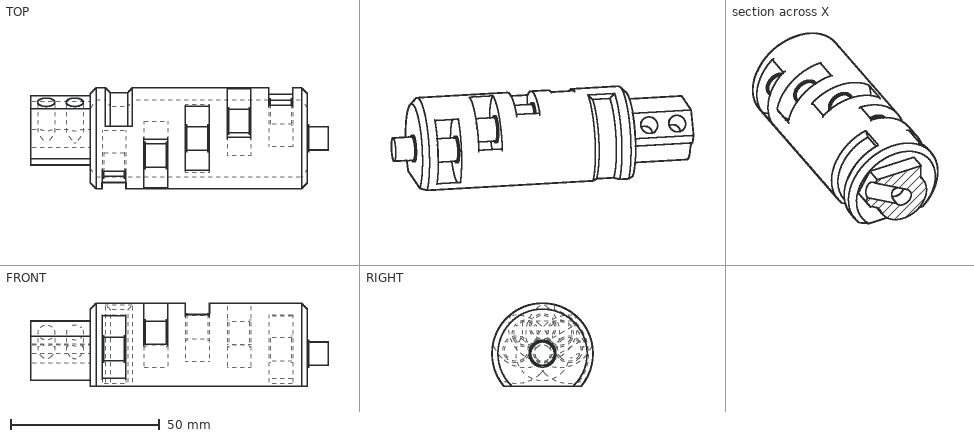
import cadquery as cq
import math

total_length = 100.0

body_start = 20.0
body_end = 93.0
body_radius = 17.0
body_chamfer = 2.0
flat_height = -11.0

shank_radius = 9.0
shank_top = 11.0
shank_side = -6.8
clamp_top = (9.9, 11.0)
clamp_tip = (14.3, 3.4)
clamp_bottom = (12.4, 0.2)
clamp_arc_middle = (10.2, -0.8)
clamp_root_height = -2.6
bore_diameter = 6.0
bore_depth = body_start
screw_diameter = 5.7
screw_positions = (5.2, 14.8)

pin_diameter = 7.9
collar_diameter = 9.0
collar_width = 0.5

pocket_count = 5
pocket_width = 8.0
first_pocket_center = 28.0
pocket_pitch = 14.0
first_pocket_angle = 10.0
pocket_angle_step = 40.0
pocket_offset = 9.0
pocket_radius = 11.5

groove_start = 25.1
groove_width = 9.1
groove_depth = 1.6
groove_wall_y = 4.0


def x_cylinder(start, length, diameter, y=0.0, z=0.0):
    """Cylinder parallel to X."""
    plane = cq.Plane((start, y, z), xDir=(0, 1, 0), normal=(1, 0, 0))
    return cq.Workplane(plane).circle(diameter / 2).extrude(length)


def make_body():
    body = x_cylinder(body_start, body_end - body_start, 2 * body_radius).edges().chamfer(body_chamfer)
    side = 2 * body_radius
    below_flat = cq.Workplane("XY").box(total_length, side, side, centered=(False, True, False))
    return body.cut(below_flat.translate((0, 0, flat_height - side)))


def make_shank():
    corner_height = math.sqrt(shank_radius**2 - shank_side**2)
    clamp_root = (math.sqrt(shank_radius**2 - clamp_root_height**2), clamp_root_height)
    profile = (
        cq.Workplane("YZ")
        .moveTo(shank_side, shank_top)
        .lineTo(*clamp_top)
        .lineTo(*clamp_tip)
        .lineTo(*clamp_bottom)
        .threePointArc(clamp_arc_middle, clamp_root)
        .threePointArc((0, -shank_radius), (shank_side, corner_height))
        .close()
    )
    return profile.extrude(body_start)


def make_screw_hole(x):
    """Hole square to the sloping clamp face, ending at the tool axis."""
    center_y = (clamp_top[0] + clamp_tip[0]) / 2
    center_z = (clamp_top[1] + clamp_tip[1]) / 2
    inward = (0, clamp_tip[1] - clamp_top[1], clamp_top[0] - clamp_tip[0])
    plane = cq.Plane((x, center_y, center_z), xDir=(1, 0, 0), normal=inward)
    return cq.Workplane(plane).circle(screw_diameter / 2).extrude(math.hypot(center_y, center_z))


def make_pocket(index):
    """Round pocket around a pin that has a collar at each end."""
    angle = math.radians(first_pocket_angle + index * pocket_angle_step)
    y = -pocket_offset * math.cos(angle)
    z = pocket_offset * math.sin(angle)
    start = first_pocket_center + index * pocket_pitch - pocket_width / 2
    pocket = x_cylinder(start, pocket_width, 2 * pocket_radius, y, z)
    pocket = pocket.cut(x_cylinder(start, pocket_width, pin_diameter, y, z))
    for collar_start in (start, start + pocket_width - collar_width):
        pocket = pocket.cut(x_cylinder(collar_start, collar_width, collar_diameter, y, z))
    return pocket


def make_groove():
    """Ring with 45 degree sides, kept only beyond the flat wall on the +Y side."""
    floor_radius = body_radius - groove_depth
    groove_end = groove_start + groove_width
    ring = (
        cq.Workplane("XY")
        .polyline([
            (groove_start, body_radius),
            (groove_start + groove_depth, floor_radius),
            (groove_end - groove_depth, floor_radius),
            (groove_end, body_radius),
        ])
        .close()
        .revolve(360, (0, 0, 0), (1, 0, 0))
    )
    side = 2 * body_radius
    kept_side = cq.Workplane("XY").box(total_length, side, side, centered=(False, False, True))
    return ring.intersect(kept_side.translate((0, groove_wall_y, 0)))


result = make_body().union(make_shank())
result = result.union(x_cylinder(body_end, total_length - body_end, pin_diameter))
result = result.union(x_cylinder(body_end, collar_width, collar_diameter))

result = result.cut(x_cylinder(0, bore_depth, bore_diameter))
for screw_x in screw_positions:
    result = result.cut(make_screw_hole(screw_x))
for pocket_index in range(pocket_count):
    result = result.cut(make_pocket(pocket_index))
result = result.cut(make_groove())